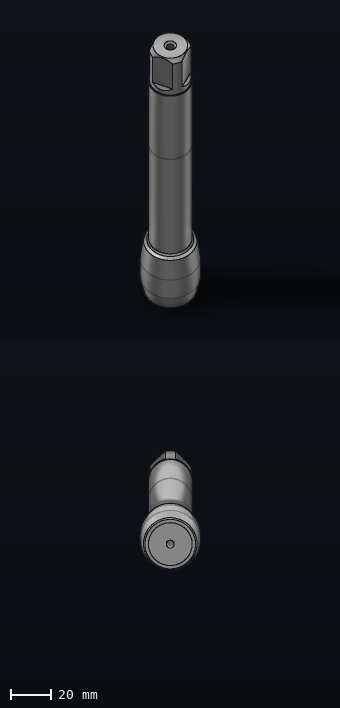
import cadquery as cq

total_height = 180.0
bore_diameter = 4.0

lower_radius = 21.8 / 2
upper_radius = 22.0 / 2
neck_radius = 21.0 / 2
step_z = 108.0
step_chamfer = 0.5
shoulder_z = 154.8
shoulder_chamfer = 0.4

square_width = 18.0
flat_bottom_z = 159.1
tip_radius = 8.6
tip_height = 2.3
countersink_diameter = 6.1
countersink_depth = 1.3

collar_radius = 30.2 / 2
collar_end_radius = 13.3
collar_rim_radius = 11.7
collar_bottom_chamfer = 0.7
lower_curve_top_z = 9.7
upper_curve_bottom_z = 23.2
upper_curve_top_z = 35.8
collar_face_z = 36.9
collar_rim_z = 38.0
lower_bow = 0.09
upper_bow = 0.2


def revolve_about_z(profile):
    """Close an XZ half-profile and revolve it about the Z axis."""
    return profile.close().revolve(360, (0, 0, 0), (0, 1, 0))


def make_flat_cutter():
    """Material outside one flat of the square, with a 45 degree run-out below the flat."""
    half_width = square_width / 2
    cutter_half_length = 2 * upper_radius
    run_out = neck_radius - half_width
    return (
        cq.Workplane("XZ")
        .moveTo(half_width, flat_bottom_z)
        .lineTo(half_width, total_height)
        .lineTo(half_width + run_out, total_height)
        .lineTo(half_width + run_out, flat_bottom_z - run_out)
        .close()
        .extrude(cutter_half_length, both=True)
    )


def make_spindle():
    """Stepped shaft with a square drive and a through bore."""
    body = revolve_about_z(
        cq.Workplane("XZ")
        .lineTo(lower_radius, 0)
        .lineTo(lower_radius, step_z - step_chamfer)
        .lineTo(upper_radius, step_z)
        .lineTo(upper_radius, shoulder_z - shoulder_chamfer)
        .lineTo(upper_radius - shoulder_chamfer, shoulder_z)
        .lineTo(neck_radius, shoulder_z)
        .lineTo(neck_radius, total_height - tip_height)
        .lineTo(tip_radius, total_height)
        .lineTo(0, total_height)
    )
    cutter = make_flat_cutter()
    for side in range(4):
        body = body.cut(cutter.rotate((0, 0, 0), (0, 0, 1), 90 * side))
    return (
        body.faces(">Z")
        .workplane(origin=(0, 0, total_height))
        .circle(bore_diameter / 2)
        .cutThruAll()
        .cut(make_countersink())
    )


def make_countersink():
    """Conical entry of the bore at the top."""
    return cq.Workplane(
        cq.Solid.makeCone(
            bore_diameter / 2,
            countersink_diameter / 2,
            countersink_depth,
            pnt=cq.Vector(0, 0, total_height - countersink_depth),
        )
    )


def make_collar():
    """Barrel-shaped collar with a bore that fits the spindle."""
    lower_middle = ((collar_end_radius + collar_radius) / 2 + lower_bow,
                    (collar_bottom_chamfer + lower_curve_top_z) / 2)
    upper_middle = ((collar_end_radius + collar_radius) / 2 + upper_bow,
                    (upper_curve_bottom_z + upper_curve_top_z) / 2)
    return revolve_about_z(
        cq.Workplane("XZ")
        .moveTo(lower_radius, 0)
        .lineTo(collar_end_radius - collar_bottom_chamfer, 0)
        .lineTo(collar_end_radius, collar_bottom_chamfer)
        .threePointArc(lower_middle, (collar_radius, lower_curve_top_z))
        .lineTo(collar_radius, upper_curve_bottom_z)
        .threePointArc(upper_middle, (collar_end_radius, upper_curve_top_z))
        .lineTo(collar_rim_radius, collar_face_z)
        .lineTo(lower_radius, collar_rim_z)
    )


spindle = make_spindle()
collar = make_collar()
result = cq.Compound.makeCompound([spindle.val(), collar.val()])